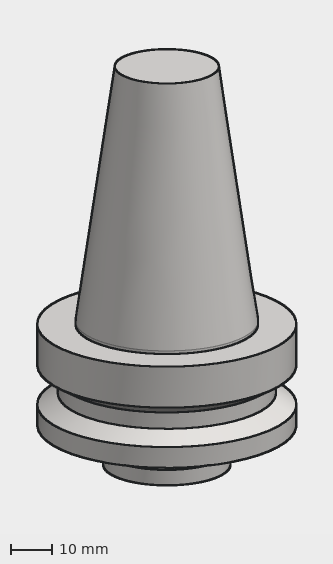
import cadquery as cq

nose_diameter = 31.0
nose_cone_diameter = 43.0
flange_diameter = 63.0
groove_diameter = 53.0
taper_large_diameter = 44.4

total_length = 102.4
nose_length = 4.0
nose_cone_length = 6.1
lower_rim_length = 5.3
groove_flank_length = 3.0
groove_floor_length = 4.2
upper_rim_length = 10.5
neck_length = 0.8
taper_ratio = 7 / 24

nose_top = nose_length
flange_bottom = nose_top + nose_cone_length
lower_rim_top = flange_bottom + lower_rim_length
groove_floor_bottom = lower_rim_top + groove_flank_length
groove_floor_top = groove_floor_bottom + groove_floor_length
upper_rim_bottom = groove_floor_top + groove_flank_length
flange_top = upper_rim_bottom + upper_rim_length
taper_bottom = flange_top + neck_length

taper_length = total_length - taper_bottom
taper_small_diameter = taper_large_diameter - taper_ratio * taper_length

profile = [
    (nose_diameter, 0),
    (nose_diameter, nose_top),
    (nose_cone_diameter, flange_bottom),
    (flange_diameter, flange_bottom),
    (flange_diameter, lower_rim_top),
    (groove_diameter, groove_floor_bottom),
    (groove_diameter, groove_floor_top),
    (flange_diameter, upper_rim_bottom),
    (flange_diameter, flange_top),
    (taper_large_diameter, flange_top),
    (taper_large_diameter, taper_bottom),
    (taper_small_diameter, total_length),
]

outline = [(0, 0)]
outline += [(diameter / 2, height) for diameter, height in profile]
outline += [(0, total_length)]
result = cq.Workplane("XZ").polyline(outline).close().revolve(360, (0, 0, 0), (0, 1, 0))